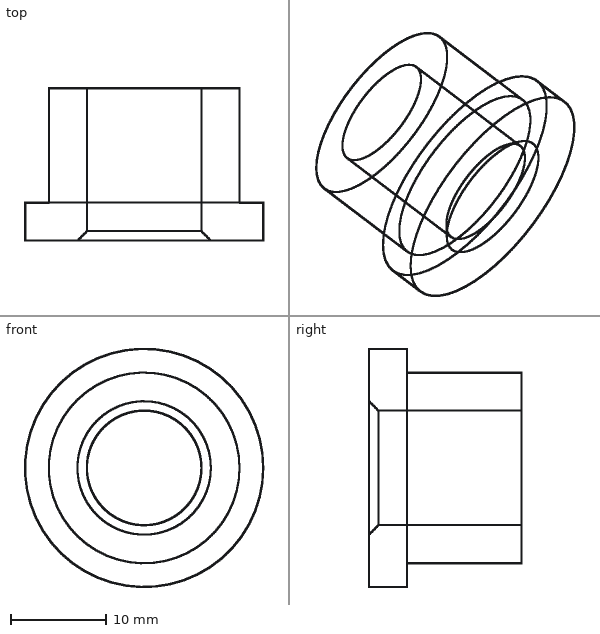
import cadquery as cq

flange_diameter = 25.0
flange_thickness = 4.0
sleeve_diameter = 20.0
total_length = 16.0

bore_diameter = 12.0
mouth_diameter = 14.0
mouth_chamfer = (mouth_diameter - bore_diameter) / 2


def cylinder_along_y(diameter, length):
    """Cylinder whose base sits on the flange face (Y = 0) and runs towards +Y."""
    return cq.Workplane("XZ").circle(diameter / 2).extrude(-length)


def make_body():
    """Flange and sleeve sharing one axis."""
    flange = cylinder_along_y(flange_diameter, flange_thickness)
    sleeve = cylinder_along_y(sleeve_diameter, total_length)
    return flange.union(sleeve)


def cut_bore(body):
    """Through bore, with its edge on the flange face broken by a 45 degree chamfer."""
    bored = body.cut(cylinder_along_y(bore_diameter, total_length))
    mouth_edge = bored.faces("<Y").edges(cq.selectors.RadiusNthSelector(0))
    return mouth_edge.chamfer(mouth_chamfer)


result = cut_bore(make_body())